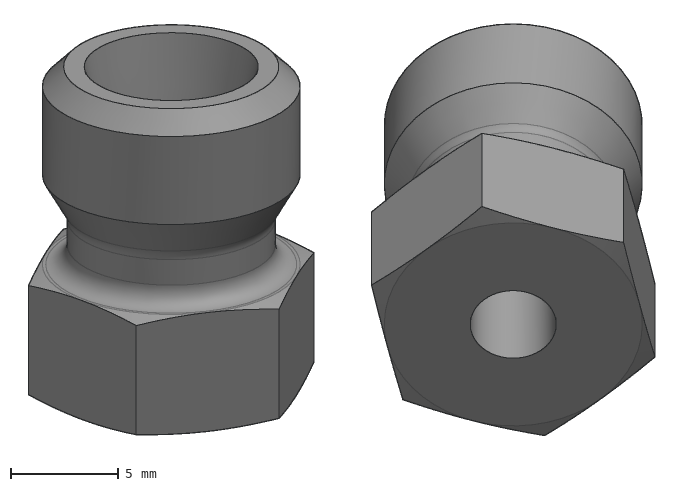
import cadquery as cq
import math

total_height = 16.0
body_diameter = 12.0
body_radius = body_diameter / 2

hex_flats = body_diameter
hex_height = 6.02
hex_corner_radius = hex_flats / math.sqrt(3)
hex_chamfer_angle = math.radians(15)
hex_chamfer_drop = (hex_corner_radius - hex_flats / 2) * math.tan(hex_chamfer_angle)

tip_chamfer = 1.0
neck_radius = 9.7 / 2
neck_fillet = 1.0
neck_cone_angle = math.radians(30)
body_bottom = 10.56

through_radius = 4.0 / 2
socket_radius = 6.0 / 2
socket_depth = 7.0
mouth_radius = 8.1 / 2
mouth_half_angle = math.radians(12)
mouth_depth = (mouth_radius - socket_radius) / math.tan(mouth_half_angle)


def make_hexagon():
    """Hexagonal prism with its corners turned off conically at both ends."""
    prism = (
        cq.Workplane("XY")
        .polygon(6, 2 * hex_corner_radius)
        .extrude(hex_height)
        .rotate((0, 0, 0), (0, 0, 1), 30)
    )
    corner_envelope = (
        cq.Workplane("XZ")
        .moveTo(0, 0)
        .lineTo(hex_flats / 2, 0)
        .lineTo(hex_corner_radius, hex_chamfer_drop)
        .lineTo(hex_corner_radius, hex_height - hex_chamfer_drop)
        .lineTo(hex_flats / 2, hex_height)
        .lineTo(0, hex_height)
        .close()
        .revolve(360, (0, 0, 0), (0, 1, 0))
    )
    return prism.intersect(corner_envelope)


def make_turned_end():
    """Neck with a filleted root, opening through a cone into the chamfered body."""
    fillet_center_r = neck_radius + neck_fillet
    cone_start_r = fillet_center_r - neck_fillet * math.cos(neck_cone_angle)
    cone_start_z = body_bottom - (body_radius - cone_start_r) / math.tan(neck_cone_angle)
    neck_top = cone_start_z - neck_fillet * math.sin(neck_cone_angle)
    half_angle = neck_cone_angle / 2
    cone_arc_middle = (
        fillet_center_r - neck_fillet * math.cos(half_angle),
        neck_top + neck_fillet * math.sin(half_angle),
    )
    neck_bottom = hex_height + neck_fillet
    root_arc_middle = (
        fillet_center_r - neck_fillet * math.sqrt(0.5),
        neck_bottom - neck_fillet * math.sqrt(0.5),
    )
    return (
        cq.Workplane("XZ")
        .moveTo(0, hex_height)
        .lineTo(fillet_center_r, hex_height)
        .threePointArc(root_arc_middle, (neck_radius, neck_bottom))
        .lineTo(neck_radius, neck_top)
        .threePointArc(cone_arc_middle, (cone_start_r, cone_start_z))
        .lineTo(body_radius, body_bottom)
        .lineTo(body_radius, total_height - tip_chamfer)
        .lineTo(body_radius - tip_chamfer, total_height)
        .lineTo(0, total_height)
        .close()
        .revolve(360, (0, 0, 0), (0, 1, 0))
    )


def make_bore():
    """Tapered mouth, straight socket and narrower through hole."""
    socket_floor = total_height - socket_depth
    return (
        cq.Workplane("XZ")
        .moveTo(0, 0)
        .lineTo(through_radius, 0)
        .lineTo(through_radius, socket_floor)
        .lineTo(socket_radius, socket_floor)
        .lineTo(socket_radius, total_height - mouth_depth)
        .lineTo(mouth_radius, total_height)
        .lineTo(0, total_height)
        .close()
        .revolve(360, (0, 0, 0), (0, 1, 0))
    )


result = make_hexagon().union(make_turned_end()).cut(make_bore())